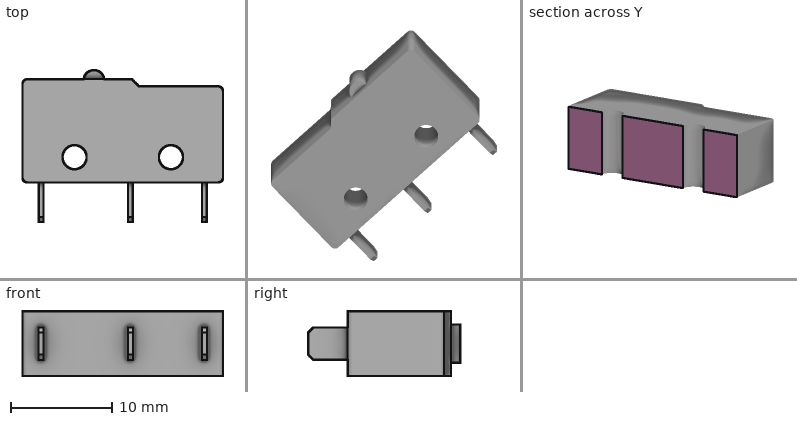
import cadquery as cq

body_length = 19.8
body_depth = 10.2
body_height = 6.4
corner_radius = 0.5

step_drop = 0.7
step_start_x = 10.8

hole_diameter = 2.35
hole_count = 2
hole_pitch = 9.5
first_hole_x = 5.15
hole_y = 2.5

blade_thickness = 0.5
blade_width = 3.2
blade_length = 3.9
blade_chamfer = 0.5
blade_centers_x = (1.85, 10.65, 17.95)

plunger_radius = 1.025
plunger_width = 3.8
plunger_protrusion = 0.9
plunger_x = 7.06

mid_z = body_height / 2


def make_housing():
    """Stepped case with rounded outer vertical corners and two through holes."""
    low_depth = body_depth - step_drop
    housing = (
        cq.Workplane("XY")
        .moveTo(0, 0)
        .lineTo(body_length, 0)
        .lineTo(body_length, low_depth)
        .lineTo(step_start_x + step_drop, low_depth)
        .lineTo(step_start_x, body_depth)
        .lineTo(0, body_depth)
        .close()
        .extrude(body_height)
    )
    housing = housing.edges("|Z and (<X or >X)").fillet(corner_radius)
    hole_centers = [(first_hole_x + i * hole_pitch, hole_y) for i in range(hole_count)]
    holes = (
        cq.Workplane("XY")
        .pushPoints(hole_centers)
        .circle(hole_diameter / 2)
        .extrude(body_height)
    )
    return housing.cut(holes)


def make_blade(center_x):
    """Flat terminal standing out of the front face, both tip corners chamfered."""
    blade = cq.Workplane("XY").box(blade_thickness, blade_length, blade_width)
    blade = blade.edges("|X and <Y").chamfer(blade_chamfer)
    return blade.translate((center_x, -blade_length / 2, mid_z))


def make_plunger():
    """Round pin partly sunk in the rear face, centered in the height."""
    center_y = body_depth + plunger_protrusion - plunger_radius
    return (
        cq.Workplane("XY")
        .workplane(offset=mid_z - plunger_width / 2)
        .center(plunger_x, center_y)
        .circle(plunger_radius)
        .extrude(plunger_width)
    )


result = make_housing().union(make_plunger())
for blade_center_x in blade_centers_x:
    result = result.union(make_blade(blade_center_x))